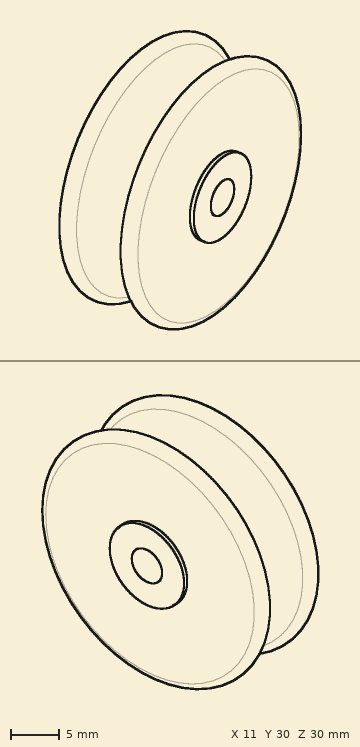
import cadquery as cq

outer_radius = 15.0
rim_width = 2.0
overall_width = 11.0
wheel_width = 10.0
hub_diameter = 10.0
bore_diameter = 4.08

rim_round = rim_width / 2
round_center_radius = outer_radius - rim_round
half_wheel = wheel_width / 2
groove_radius = half_wheel - rim_width
groove_bottom_radius = round_center_radius - groove_radius
rim_center = half_wheel - rim_round

wheel = (
    cq.Workplane("XY")
    .moveTo(-half_wheel, 0)
    .lineTo(-half_wheel, round_center_radius)
    .threePointArc((-rim_center, outer_radius), (-groove_radius, round_center_radius))
    .threePointArc((0, groove_bottom_radius), (groove_radius, round_center_radius))
    .threePointArc((rim_center, outer_radius), (half_wheel, round_center_radius))
    .lineTo(half_wheel, 0)
    .close()
    .revolve(360, (0, 0, 0), (1, 0, 0))
)

hub = cq.Workplane("YZ").circle(hub_diameter / 2).extrude(overall_width / 2, both=True)

bore = cq.Workplane("YZ").circle(bore_diameter / 2).extrude(overall_width, both=True)

result = wheel.union(hub).cut(bore)